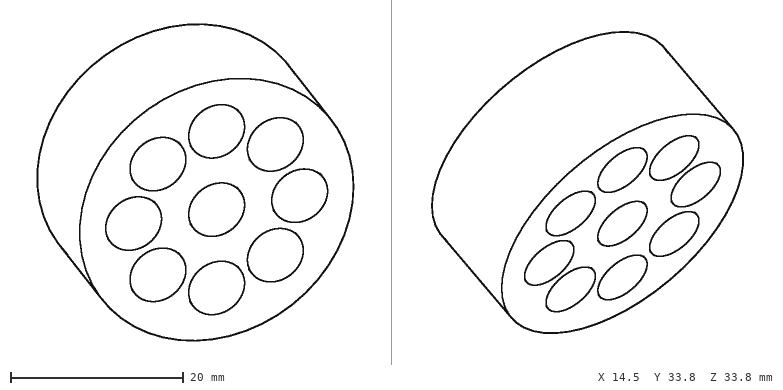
import cadquery as cq

disc_diameter = 33.8
disc_thickness = 14.5

hole_diameter = 6.9
ring_radius = 10.25
ring_hole_count = 8

disc = (
    cq.Workplane("YZ")
    .circle(disc_diameter / 2)
    .extrude(disc_thickness)
)

center_drilled = disc.faces(">X").workplane(origin=(0, 0, 0)).hole(hole_diameter)

result = (
    center_drilled.faces(">X")
    .workplane(origin=(0, 0, 0))
    .polarArray(ring_radius, 0, 360, ring_hole_count)
    .hole(hole_diameter)
)